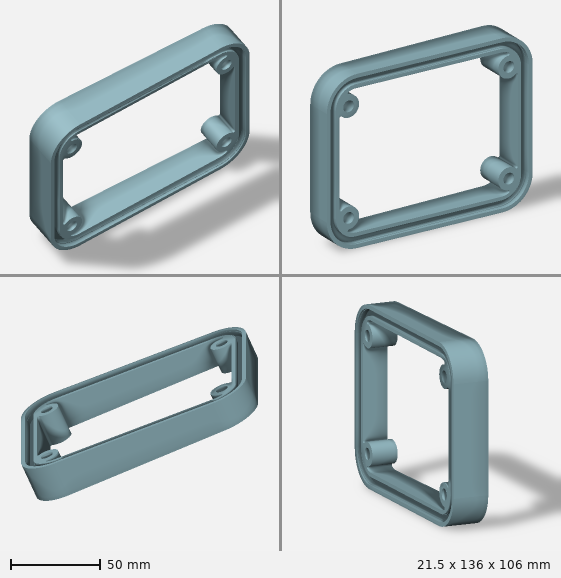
import cadquery as cq

LENGTH = 136.0
HEIGHT = 106.0
THICK_END = 21.5
THIN_END = 17.0
CORNER_RADIUS = 20.0

WALL = 9.1
OPENING_FILLET = 1.0

BOSS_RADIUS = 7.0
HOLE_RADIUS = 3.5
BOSS_SPACING_Y = 105.8
BOSS_SPACING_Z = 67.9

INNER_RIM_RECESS = 1.1

GROOVE_INSET = 2.5
GROOVE_WIDTH = 4.5
LEDGE_WIDTH = 0.3
LEDGE_OFFSET = 7.6
GROOVE_FLOOR_OFFSET = 4.5


def rounded_block(inset, x_start, x_end):
    """Block along X whose outline is the outer outline moved inward by inset."""
    return (
        cq.Workplane("YZ", origin=(x_start, 0, 0))
        .rect(LENGTH - 2 * inset, HEIGHT - 2 * inset)
        .extrude(x_end - x_start)
        .edges("|X")
        .fillet(CORNER_RADIUS - inset)
    )


def corner_cylinders(radius):
    """Four cylinders along X on the boss axes."""
    return (
        cq.Workplane("YZ")
        .rect(BOSS_SPACING_Y, BOSS_SPACING_Z, forConstruction=True)
        .vertices()
        .circle(radius)
        .extrude(THICK_END / 2, both=True)
    )


def wedge_block(inset, recess):
    """Rounded block trimmed to a wedge, thick at -Y, with both faces lowered by recess."""
    thick_half = THICK_END / 2 - recess
    thin_half = THIN_END / 2 - recess
    wedge = (
        cq.Workplane("XY")
        .polyline([
            (-thick_half, -LENGTH / 2),
            (thick_half, -LENGTH / 2),
            (thin_half, LENGTH / 2),
            (-thin_half, LENGTH / 2),
        ])
        .close()
        .extrude(HEIGHT / 2, both=True)
    )
    return rounded_block(inset, -THICK_END / 2, THICK_END / 2).intersect(wedge)


def frame_body():
    """Solid wedge whose middle, from the groove inward, is recessed on both faces."""
    core_inset = GROOVE_INSET + GROOVE_WIDTH
    outer_rim = wedge_block(0, 0).cut(rounded_block(core_inset, -THICK_END / 2, THICK_END / 2))
    return outer_rim.union(wedge_block(core_inset, INNER_RIM_RECESS))


def opening():
    """Window through the frame, cut back around the bosses with blended corners."""
    window = rounded_block(WALL, -THICK_END / 2, THICK_END / 2)
    window = window.cut(corner_cylinders(BOSS_RADIUS))
    arc_end_y = LENGTH / 2 - CORNER_RADIUS
    boss_edges = window.edges("|X").filter(lambda edge: abs(edge.Center().y) > arc_end_y + OPENING_FILLET)
    return boss_edges.fillet(OPENING_FILLET)


def groove_ring(inset, width, floor_offset):
    """Ring-shaped cut from the -X face down to a flat floor."""
    outer = rounded_block(inset, -THICK_END / 2, -floor_offset)
    return outer.cut(rounded_block(inset + width, -THICK_END / 2, -floor_offset))


def stepped_groove():
    """Wide shallow ring and narrower deep ring for the -X face."""
    wide_ring = groove_ring(GROOVE_INSET, GROOVE_WIDTH, LEDGE_OFFSET)
    narrow_width = GROOVE_WIDTH - 2 * LEDGE_WIDTH
    narrow_ring = groove_ring(GROOVE_INSET + LEDGE_WIDTH, narrow_width, GROOVE_FLOOR_OFFSET)
    return wide_ring.union(narrow_ring)


groove = stepped_groove()
result = (
    frame_body()
    .cut(opening())
    .cut(corner_cylinders(HOLE_RADIUS))
    .cut(groove)
    .cut(groove.mirror("YZ"))
)